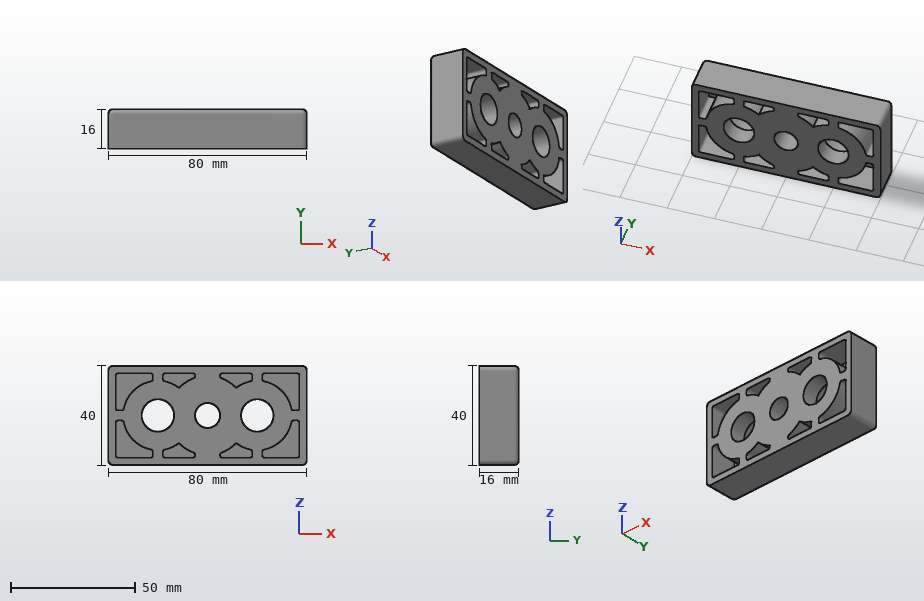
import cadquery as cq

length = 80
thickness = 16
height = 40
outer_radius = 2.0

bolt_hole_diameter = 13.0
bolt_hole_offset = length / 4
center_hole_diameter = 10.0
counterbore_diameter = 19.5
counterbore_depth = 8.5

pocket_field_length = 74.0
rib = 4
center_web = 10.0
bolt_boss_radius = 14.0
center_boss_radius = 16
pocket_corner_diameter = 2.0

wall = (length - pocket_field_length) / 2
pocket_depth = thickness - wall
pocket_top = height / 2 - wall
front = -thickness / 2
back = thickness / 2


def cylinder_y(x, diameter, y_start, depth):
    """Cylinder along +Y at mid-height, starting at y_start."""
    plane = cq.Workplane("XZ", origin=(x, y_start, 0))
    return plane.circle(diameter / 2).extrude(-depth)


def pocket_block(x_min, x_max):
    """Pocket volume above the middle rib, reaching in from the front face."""
    z_min = rib / 2
    size = (x_max - x_min, pocket_depth, pocket_top - z_min)
    return cq.Workplane("XY", origin=(x_min, front, z_min)).box(*size, centered=False)


body = cq.Workplane("XY").box(length, thickness, height)
body = body.edges("|Y").fillet(outer_radius)
body = body.faces(">Y").edges().fillet(outer_radius)

bolt_boss = cylinder_y(bolt_hole_offset, 2 * bolt_boss_radius, front, thickness)
center_boss = cylinder_y(0, 2 * center_boss_radius, front, thickness)
pocket_corner_radius = pocket_corner_diameter / 2

corner_pocket = pocket_block(bolt_hole_offset + rib / 2, length / 2 - wall)
corner_pocket = corner_pocket.cut(bolt_boss)
corner_pocket = corner_pocket.edges("|Y").fillet(pocket_corner_radius)

inner_pocket = pocket_block(center_web / 2, bolt_hole_offset - rib / 2)
inner_pocket = inner_pocket.cut(bolt_boss).cut(center_boss)
inner_pocket = inner_pocket.edges("|Y").edges("not <Z").fillet(pocket_corner_radius)

for quarter_pocket in (corner_pocket, inner_pocket):
    upper_pair = quarter_pocket.union(quarter_pocket.mirror("YZ"))
    lower_pair = upper_pair.mirror("XY")
    body = body.cut(upper_pair).cut(lower_pair)

body = body.cut(cylinder_y(0, center_hole_diameter, front, thickness))
for x in (-bolt_hole_offset, bolt_hole_offset):
    body = body.cut(cylinder_y(x, bolt_hole_diameter, front, thickness))
    body = body.cut(cylinder_y(x, counterbore_diameter, back - counterbore_depth, counterbore_depth))

result = cq.Workplane(body.solids().val())